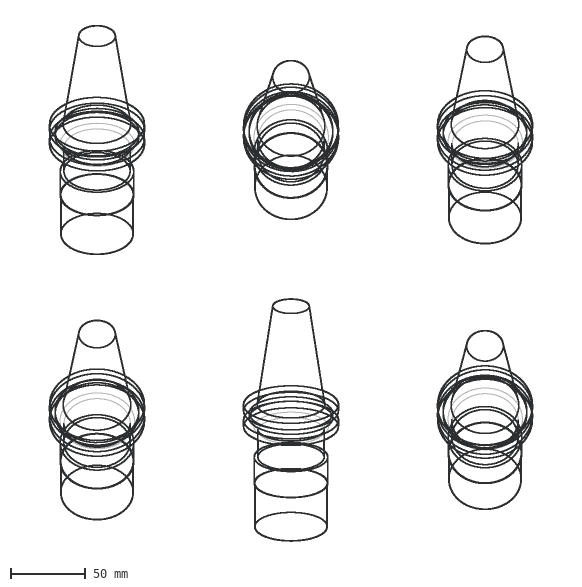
import cadquery as cq

total_height = 160.4
sleeve_seam = 31.8
sleeve_top = 50.7
flange_bottom = 72.8
flange_top = 88.9

lower_sleeve_diameter = 48.5
upper_sleeve_diameter = 49.2
shank_diameter = 44.3
flange_diameter = 63.5
groove_diameter = 56.0
taper_large_diameter = 45.2
taper_small_diameter = 24.5

groove_center = (flange_bottom + flange_top) / 2
groove_floor_width = 3.2
groove_mouth_width = 6.5

shank_fillet = 2.7


def cylinder(diameter, bottom, top):
    """Solid cylinder on the Z axis between two heights."""
    return cq.Workplane("XY").workplane(offset=bottom).circle(diameter / 2).extrude(top - bottom)


def flange():
    """Disc with a V-sided groove, turned around the Z axis."""
    outer = flange_diameter / 2
    floor = groove_diameter / 2
    half_mouth = groove_mouth_width / 2
    half_floor = groove_floor_width / 2
    profile = [
        (0, flange_bottom),
        (outer, flange_bottom),
        (outer, groove_center - half_mouth),
        (floor, groove_center - half_floor),
        (floor, groove_center + half_floor),
        (outer, groove_center + half_mouth),
        (outer, flange_top),
        (0, flange_top),
    ]
    return cq.Workplane("XZ").polyline(profile).close().revolve(360, (0, 0, 0), (0, 1, 0))


def taper():
    """Tool taper standing on the flange."""
    large = taper_large_diameter / 2
    small = taper_small_diameter / 2
    profile = [
        (0, flange_top),
        (large, flange_top),
        (small, total_height),
        (0, total_height),
    ]
    return cq.Workplane("XZ").polyline(profile).close().revolve(360, (0, 0, 0), (0, 1, 0))


lower_sleeve = cylinder(lower_sleeve_diameter, 0, sleeve_seam)
upper_sleeve = cylinder(upper_sleeve_diameter, sleeve_seam, sleeve_top)
shank = cylinder(shank_diameter, sleeve_top, flange_bottom)

neck = shank.union(flange())
corner_reach = shank_diameter / 2 + shank_fillet / 2
corner_box = cq.selectors.BoxSelector(
    (-corner_reach, -corner_reach, flange_bottom - shank_fillet / 2),
    (corner_reach, corner_reach, flange_bottom + shank_fillet / 2),
    boundingbox=True,
)
neck = neck.edges(corner_box).fillet(shank_fillet)

result = lower_sleeve.union(upper_sleeve).union(neck).union(taper())